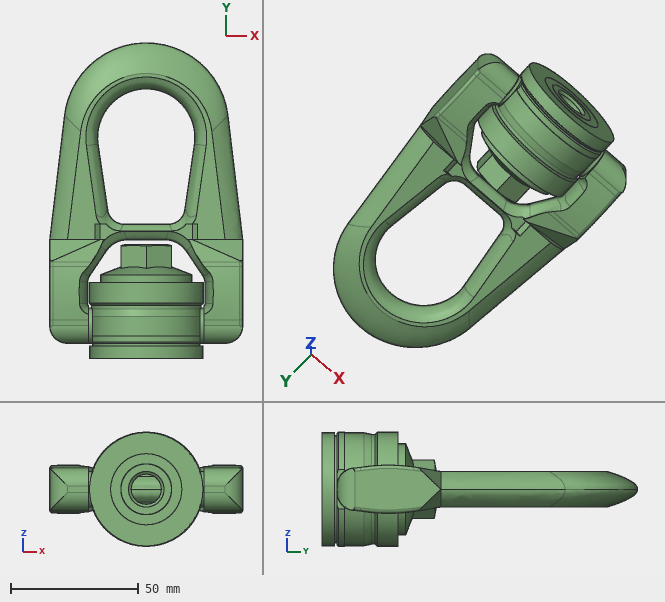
import cadquery as cq
import math


base_d = 44.6
base_height = 5.0
base_bore_d = 20.05
base_recess_d = 28.0
base_recess_depth = 0.1

bolt_foot_d = 19.85
bolt_shank_d = 22.6
thread_bore_d = 11.84
thread_mouth_d = 14.0
flange_d = 36.0
flange_top = 33.0
cone_top = 36.1
cone_top_d = 20.0
hex_flats = 20.0
hex_half_sector = 30.0
hex_corners = hex_flats / math.cos(math.radians(hex_half_sector))
hex_top = 45.0
hex_bevel_height = 0.8
hex_bevel_inset = 4.0

body_d = 45.0
body_r = body_d / 2
body_bottom = base_height
body_step_y = 5.9
body_edge_chamfer = 0.6
body_top = 30.0
body_bore_d = 23.0
barrel_r = 22.25
lip_top = 9.0
barrel_top = 16.6
neck_r = 21.6
neck_y = 19.6
collar_bottom = 21.8
collar_chamfer = 0.4
flat_half_width = 21.1

pin_d = 14.0
pin_y = 13.0
pin_inner_x = 14.0

leg_half_width = 38.0
leg_inner_x = 22.7
leg_bottom = pin_y - pin_d / 2
leg_corner_r = 7.0
leg_flat_half = 1.35
leg_low_z = leg_flat_half + leg_corner_r
leg_low_y = leg_bottom + leg_corner_r
leg_peak_y = 26.0
leg_peak_z = 9.5
leg_arch_low_y = 15.1
leg_arch_low_z = 8.6
leg_arch_high_y = 36.3
leg_arch_high_z = 8.75
leg_high_y = 38.0
leg_high_z = 8.5
leg_edge_r = 1.3
rim_zone_half = 8.0

shoulder_y = 46.8
shoulder_inner_x = 18.2
ring_half_thickness = 7.0
bow_top = 124.25
edge_arc_r = 32.4
edge_arc_y = bow_top - edge_arc_r
crest_arc_r = 26.0
crest_arc_y = 86.2
crest_foot_x = 31.0

eye_arc_r = 19.1
eye_arc_y = 87.0
eye_foot_x = 14.3
eye_foot_y = 52.9
eye_corner_r = 6.5
eye_rounding = 5.8
bar_upper_rounding = 2.6
bar_lower_rounding = 3.3
bar_half_thickness = 5.1
bar_ramp_width = 2.0

opening_half_width = 23.1
opening_bottom = 20.2
opening_slope_y = 31.3
opening_top = 46.7
opening_top_x = 12.8
opening_rounding = 5.0
opening_foot_r = 1.5
opening_side_r = 6.0
opening_top_r = 10.0
opening_top_flare = 0.7
opening_slope_flare = 1 / 3

small_overlap = 1.0

ring_levels = (1.75, 3.5, 5.25, ring_half_thickness)
eye_levels = (1.2, 3.0, bar_half_thickness, 6.3, ring_half_thickness)
opening_levels = (1.2, 3.0, bar_half_thickness, 7.0, leg_peak_z + small_overlap / 2)


def turned(profile):
    """Revolve a list of (radius, y) points about the Y axis."""
    return cq.Workplane("XY").polyline(profile).close().revolve(360, (0, 0, 0), (0, 1, 0))


def cylinder_y(diameter, y_start, y_end):
    return turned([(0, y_start), (diameter / 2, y_start), (diameter / 2, y_end), (0, y_end)])


def blend(start, end, weight):
    return start + (end - start) * weight


def round_fraction(ratio):
    """Inset of a quarter round, from 0 at mid height to 1 at its top."""
    return 1 - math.sqrt(1 - min(ratio, 1.0) ** 2)


def tangent_point(foot_x, foot_y, arc_r, arc_y):
    """Right-hand point where a line from the foot touches the arc centred on X = 0."""
    dx = foot_x
    dy = foot_y - arc_y
    angle = math.atan2(dy, dx) + math.acos(arc_r / math.hypot(dx, dy))
    return arc_r * math.cos(angle), arc_y + arc_r * math.sin(angle)


def corner_arc(before, corner, after, radius):
    """Start, middle and end of a round that replaces one corner of an outline."""
    def unit(target):
        length = math.hypot(target[0] - corner[0], target[1] - corner[1])
        return (target[0] - corner[0]) / length, (target[1] - corner[1]) / length

    u = unit(before)
    v = unit(after)
    half_angle = math.acos(u[0] * v[0] + u[1] * v[1]) / 2
    setback = radius / math.tan(half_angle)
    bisector = (u[0] + v[0], u[1] + v[1])
    reach = (radius / math.sin(half_angle) - radius) / math.hypot(*bisector)
    start = (corner[0] + u[0] * setback, corner[1] + u[1] * setback)
    middle = (corner[0] + bisector[0] * reach, corner[1] + bisector[1] * reach)
    end = (corner[0] + v[0] * setback, corner[1] + v[1] * setback)
    return start, middle, end


def wire_at(z, sketch):
    return sketch.val().translate(cq.Vector(0, 0, z))


def mirrored_loft(section_at, heights):
    """Smooth loft from the mid plane up through the given heights, doubled below the mid plane."""
    sections = [section_at(height) for height in (0, *heights)]
    upper = cq.Workplane(obj=cq.Solid.makeLoft(sections))
    return upper.union(upper.mirror("XY"))


def make_base():
    ring = cylinder_y(base_d, 0, base_height).cut(cylinder_y(base_bore_d, 0, base_height))
    return ring.cut(cylinder_y(base_recess_d, 0, base_recess_depth))


def make_bolt():
    shaft = turned([
        (0, 0),
        (bolt_foot_d / 2, 0),
        (bolt_foot_d / 2, base_height),
        (bolt_shank_d / 2, base_height),
        (bolt_shank_d / 2, body_top),
        (flange_d / 2, body_top),
        (flange_d / 2, flange_top),
        (cone_top_d / 2, cone_top),
        (0, cone_top),
    ])
    hexagon = (
        cq.Workplane("XZ", origin=(0, flange_top, 0))
        .transformed(rotate=(0, 0, hex_half_sector))
        .polygon(6, hex_corners)
        .extrude(flange_top - hex_top)
    )
    bevel = turned([
        (0, flange_top),
        (hex_corners / 2, flange_top),
        (hex_corners / 2, hex_top - hex_bevel_height),
        (hex_corners / 2 - hex_bevel_inset, hex_top),
        (0, hex_top),
    ])
    mouth_depth = (thread_mouth_d - thread_bore_d) / 2
    mouth = turned([(0, 0), (thread_mouth_d / 2, 0), (thread_bore_d / 2, mouth_depth), (0, mouth_depth)])
    bolt = shaft.union(hexagon.intersect(bevel))
    return bolt.cut(cylinder_y(thread_bore_d, 0, hex_top)).cut(mouth)


def make_body():
    outer = turned([
        (0, body_bottom),
        (flat_half_width, body_bottom),
        (flat_half_width, body_step_y),
        (body_r - body_edge_chamfer, body_step_y),
        (body_r, body_step_y + body_edge_chamfer),
        (body_r, lip_top),
        (barrel_r, lip_top),
        (barrel_r, barrel_top),
        (neck_r, neck_y),
        (neck_r, collar_bottom - collar_chamfer * 2),
        (body_r - collar_chamfer, collar_bottom - collar_chamfer),
        (body_r, collar_bottom),
        (body_r, body_top),
        (0, body_top),
    ])
    flat_height = neck_y - body_bottom
    flat_zone = cq.Workplane("XY").box(body_d + small_overlap, flat_height, body_d + small_overlap)
    flat_core = cq.Workplane("XY").box(2 * flat_half_width, flat_height, body_d + small_overlap)
    flats = flat_zone.cut(flat_core).translate((0, body_bottom + flat_height / 2, 0))
    body = outer.cut(flats).cut(cylinder_y(body_bore_d, body_bottom, body_top))
    for side in (-1, 1):
        body = body.cut(make_pin(side))
    return body


def make_pin(side):
    pin = cq.Workplane("YZ", origin=(pin_inner_x, pin_y, 0)).circle(pin_d / 2)
    pin = pin.extrude(leg_inner_x + small_overlap - pin_inner_x)
    return pin if side > 0 else pin.mirror("YZ")


def ring_section(z):
    """Outline of the bow ring at height z, drawn in from the rim toward the faces."""
    inset = (z / ring_half_thickness) ** 2
    arc_r = blend(edge_arc_r, crest_arc_r, inset)
    arc_y = blend(edge_arc_y, crest_arc_y, inset)
    foot_x = blend(leg_half_width, crest_foot_x, inset)
    touch_x, touch_y = tangent_point(foot_x, shoulder_y, arc_r, arc_y)
    sketch = (
        cq.Workplane("XY")
        .moveTo(foot_x, shoulder_y)
        .lineTo(touch_x, touch_y)
        .threePointArc((0, arc_y + arc_r), (-touch_x, touch_y))
        .lineTo(-foot_x, shoulder_y)
        .close()
    )
    return wire_at(z, sketch)


def eye_section(z):
    """Outline of the eye, wider toward the faces so that its rim is rounded."""
    grow = round_fraction(z / ring_half_thickness)
    bar_grow = round_fraction(z / bar_half_thickness)
    arc_r = eye_arc_r + eye_rounding * grow
    foot = (eye_foot_x + eye_rounding * grow, eye_foot_y - bar_upper_rounding * bar_grow)
    touch = tangent_point(*foot, arc_r, eye_arc_y)
    start, middle, end = corner_arc(touch, foot, (0, foot[1]), eye_corner_r)
    sketch = (
        cq.Workplane("XY")
        .moveTo(*touch)
        .threePointArc((0, eye_arc_y + arc_r), (-touch[0], touch[1]))
        .lineTo(-start[0], start[1])
        .threePointArc((-middle[0], middle[1]), (-end[0], end[1]))
        .lineTo(*end)
        .threePointArc(middle, start)
        .close()
    )
    return wire_at(z, sketch)


def opening_section(z):
    """Outline of the lower opening, widening to rounded rims on the legs and the crossbar."""
    side_grow = opening_rounding * round_fraction(z / leg_peak_z)
    bar_grow = bar_lower_rounding * round_fraction(z / bar_half_thickness)
    half_width = opening_half_width + side_grow
    bottom = opening_bottom - side_grow
    top = opening_top + bar_grow
    top_x = opening_top_x + bar_grow * opening_top_flare
    slope_y = opening_slope_y + side_grow * opening_slope_flare
    foot_r = opening_foot_r + side_grow
    corners = [
        (half_width, bottom, foot_r),
        (half_width, slope_y, opening_side_r),
        (top_x, top, opening_top_r),
    ]
    corners += [(-x, y, radius) for x, y, radius in reversed(corners)]
    sketch = cq.Workplane("XY").moveTo(0, bottom)
    for i, corner in enumerate(corners):
        before = corners[i - 1]
        after = corners[(i + 1) % len(corners)]
        start, middle, end = corner_arc(before[:2], corner[:2], after[:2], corner[2])
        sketch = sketch.lineTo(*start).threePointArc(middle, end)
    return wire_at(z, sketch.close())


def make_leg_block():
    """Both legs as one block: arched faces, rounded bottom and bevelled shoulders."""
    side_profile = (
        cq.Workplane("YZ", origin=(-leg_half_width, 0, 0))
        .moveTo(leg_bottom, -leg_flat_half)
        .lineTo(leg_bottom, leg_flat_half)
        .radiusArc((leg_low_y, leg_low_z), leg_corner_r)
        .lineTo(leg_arch_low_y, leg_arch_low_z)
        .threePointArc((leg_peak_y, leg_peak_z), (leg_arch_high_y, leg_arch_high_z))
        .lineTo(leg_high_y, leg_high_z)
        .lineTo(shoulder_y, ring_half_thickness)
        .lineTo(shoulder_y, -ring_half_thickness)
        .lineTo(leg_high_y, -leg_high_z)
        .lineTo(leg_arch_high_y, -leg_arch_high_z)
        .threePointArc((leg_peak_y, -leg_peak_z), (leg_arch_low_y, -leg_arch_low_z))
        .lineTo(leg_low_y, -leg_low_z)
        .radiusArc((leg_bottom, -leg_flat_half), leg_corner_r)
        .close()
        .extrude(2 * leg_half_width)
    )
    plan = (
        cq.Workplane("XY", origin=(0, 0, -2 * leg_peak_z))
        .moveTo(-leg_half_width, shoulder_y)
        .lineTo(-leg_half_width, leg_low_y)
        .radiusArc((leg_corner_r - leg_half_width, leg_bottom), -leg_corner_r)
        .lineTo(leg_half_width - leg_corner_r, leg_bottom)
        .radiusArc((leg_half_width, leg_low_y), -leg_corner_r)
        .lineTo(leg_half_width, shoulder_y)
        .close()
        .extrude(4 * leg_peak_z)
    )
    block = side_profile.intersect(plan)
    for side in (-leg_half_width, leg_half_width):
        rim = cq.selectors.BoxSelector(
            (side - leg_edge_r, leg_peak_y - rim_zone_half, -2 * leg_peak_z),
            (side + leg_edge_r, leg_peak_y + rim_zone_half, 2 * leg_peak_z),
        )
        block = block.edges("not #Y").edges(rim).fillet(leg_edge_r)
    bevel = shoulder_bevel()
    for tool in (bevel, bevel.mirror("XY")):
        block = block.cut(tool).cut(tool.mirror("YZ"))
    return block


def shoulder_bevel():
    """Cutter above the plane through the ridge end, the ring face and the leg's outer edge."""
    ridge_end = cq.Vector(leg_half_width, shoulder_y, 0)
    ring_corner = cq.Vector(shoulder_inner_x, shoulder_y, ring_half_thickness)
    leg_corner = cq.Vector(leg_half_width, leg_high_y, leg_high_z)
    normal = (ring_corner - ridge_end).cross(leg_corner - ridge_end)
    if normal.z < 0:
        normal = normal * -1
    cutter_size = 4 * leg_half_width
    plane = cq.Plane(origin=ridge_end, normal=normal)
    half_space = cq.Workplane(plane).rect(cutter_size, cutter_size).extrude(cutter_size)
    zone = cq.Workplane("XY").box(leg_half_width, shoulder_y, 2 * leg_peak_z, centered=False)
    return half_space.intersect(zone)


def make_bar_relief():
    """Cutter that thins the crossbar, ramping up to the full ring on either side."""
    z_top = leg_peak_z + small_overlap
    slope = (ring_half_thickness - bar_half_thickness) / bar_ramp_width
    outer_x = shoulder_inner_x + (z_top - bar_half_thickness) / slope
    relief = (
        cq.Workplane("XZ", origin=(0, shoulder_y, 0))
        .polyline([
            (-shoulder_inner_x, bar_half_thickness),
            (shoulder_inner_x, bar_half_thickness),
            (outer_x, z_top),
            (-outer_x, z_top),
        ])
        .close()
        .extrude(shoulder_y - eye_foot_y)
    )
    return relief.union(relief.mirror("XY"))


def make_leg_gap():
    """Cutter that opens the lower end of the bow between the inner faces of the legs."""
    height = opening_bottom - leg_bottom + small_overlap
    gap = cq.Workplane("XY").box(2 * leg_inner_x, height, 4 * leg_peak_z)
    return gap.translate((0, leg_bottom + height / 2, 0))


def make_bow():
    opening = mirrored_loft(opening_section, opening_levels)
    eye = mirrored_loft(eye_section, eye_levels)
    ring = mirrored_loft(ring_section, ring_levels)
    ring = ring.cut(make_bar_relief()).cut(eye).cut(opening)
    legs = make_leg_block().cut(make_leg_gap()).cut(opening)
    bow = ring.union(legs)
    for side in (-1, 1):
        bow = bow.union(make_pin(side))
    return bow


base = make_base()
bolt = make_bolt()
body = make_body()
bow = make_bow()

result = cq.Compound.makeCompound([base.val(), bolt.val(), body.val(), bow.val()])